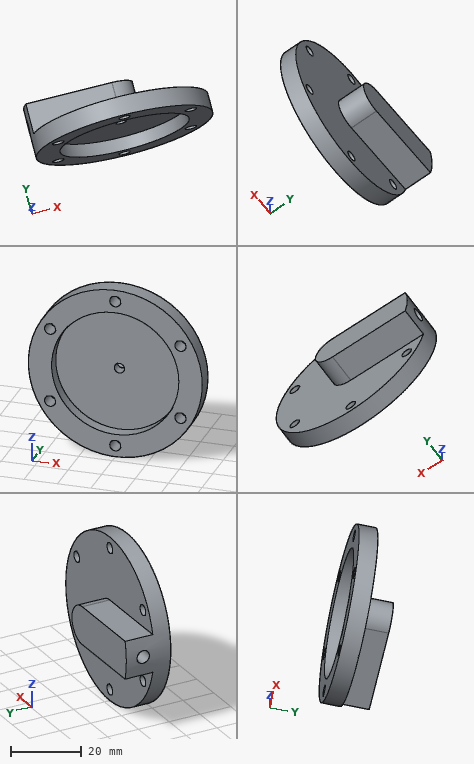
import cadquery as cq

flange_diameter = 52.0
flange_thickness = 5.5
overall_depth = 14.5

recess_diameter = 38.0
recess_depth = 3.9

bolt_count = 6
bolt_hole_diameter = 3.3
bolt_circle_diameter = 45.0

arm_width = 12.0
arm_depth = overall_depth - flange_thickness

passage_diameter = 4.0
passage_from_back = 5.5
passage_y = overall_depth - passage_from_back
center_hole_diameter = 3.0


def cylinder_along_y(diameter, start_y, length):
    """Cylinder on the flange axis, growing towards +Y."""
    plane = cq.Workplane("XZ", origin=(0, start_y, 0))
    return plane.circle(diameter / 2).extrude(-length)


def make_arm():
    """Bar with a round inner end, its outer end trimmed to the flange rim."""
    bar_length = flange_diameter / 2
    bar = (
        cq.Workplane("XZ", origin=(0, flange_thickness, 0))
        .center(-bar_length / 2, 0)
        .rect(bar_length, arm_width)
        .extrude(-arm_depth)
    )
    round_end = cylinder_along_y(arm_width, flange_thickness, arm_depth)
    rim = cylinder_along_y(flange_diameter, flange_thickness, arm_depth)
    return bar.union(round_end).intersect(rim)


def make_bolt_holes():
    """Ring of through holes, the first one straight up from the axis."""
    return (
        cq.Workplane("XZ")
        .polarArray(bolt_circle_diameter / 2, 90, 360, bolt_count)
        .circle(bolt_hole_diameter / 2)
        .extrude(-flange_thickness)
    )


def make_passage():
    """Blind bore from the -X end of the arm, ending just past the centre hole."""
    bore_length = (flange_diameter + center_hole_diameter) / 2
    bore = (
        cq.Workplane("YZ", origin=(-flange_diameter / 2, passage_y, 0))
        .circle(passage_diameter / 2)
        .extrude(bore_length)
    )
    return bore.union(cylinder_along_y(center_hole_diameter, 0, passage_y))


flange = cylinder_along_y(flange_diameter, 0, flange_thickness)
recess = cylinder_along_y(recess_diameter, 0, recess_depth)

result = (
    flange.union(make_arm())
    .cut(recess)
    .cut(make_bolt_holes())
    .cut(make_passage())
)